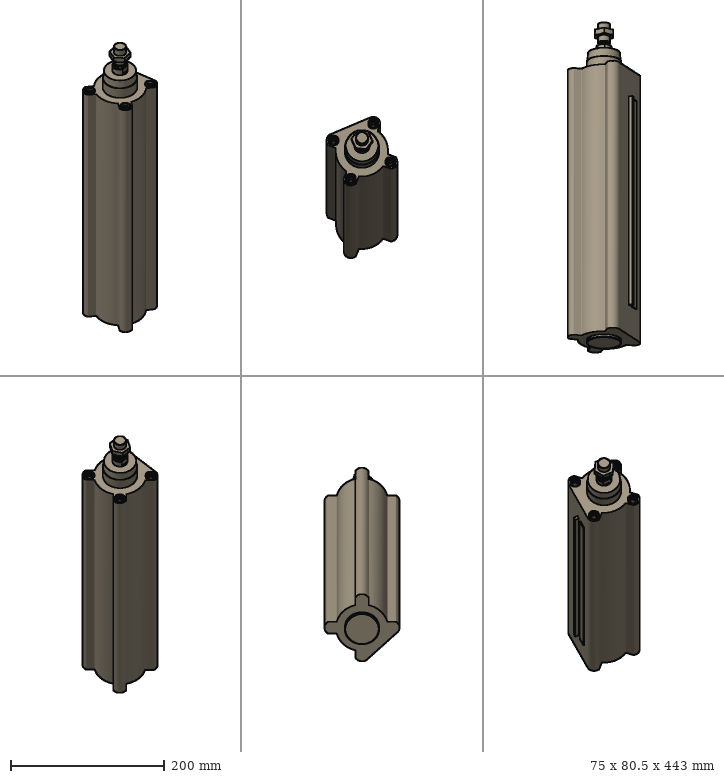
import cadquery as cq
import math

TOTAL_HEIGHT = 443.0
BODY_BOTTOM = 4.0
BODY_TOP = 375.0
COLLAR_SHOULDER = 391.0
COLLAR_TOP = 402.8

BARREL_RADIUS = 34.0
OUTER_WIDTH = 75.0
SCREW_PITCH = 56.3
OUTER_FLAT = OUTER_WIDTH / 2
LOBE_CENTRE = SCREW_PITCH / 2
LOBE_ANGLES = (45, 135, 225, 315)
LOBE_RADIUS = OUTER_FLAT - LOBE_CENTRE
FLANK_CORNER = 25.3
FLANK_CORNER_FILLET = 1.8
BARREL_JOINT_FILLET = 1.0

COLLAR_DIAMETER = 45.0
TAPER_BASE_DIAMETER = 44.5
TAPER_TOP_DIAMETER = 42.0
BOTTOM_COLLAR_CHAMFER = 1.0

SCREW_STEPS = [(13.5, 1.0), (12.0, 4.5), (8.0, 6.0), (6.5, 17.7)]
DRILL_POINT_ANGLE = 118.0

RAIL_WIDTH = 4.0
RAIL_PROJECTION = 5.5
RAIL_BOTTOM = 46.0
RAIL_TOP = 335.5
STRIP_WIDTH = 11.0
STRIP_PROJECTION = 1.5
STRIP_CENTRE_X = -13.0

ROD_DIAMETER = 20.0
ROD_BOTTOM = BODY_TOP
ROD_SHOULDER = 412.5
ROD_CHAMFER = 1.0
FLATS_WIDTH = 17.0
FLATS_BOTTOM = 404.0
THREAD_DIAMETER = 16.0
THREAD_BOTTOM = 417.0
NECK_DIAMETER = 15.0
NECK_FOOT_DIAMETER = 17.0
NECK_FOOT_HEIGHT = 2.0
THREAD_CHAMFER = 0.5

NUT_ACROSS_FLATS = 24.0
NUT_HEIGHT = 8.0
NUT_BOTTOM = 425.5
NUT_FACE_DIAMETER = 23.0
NUT_CHAMFER_ANGLE = 30.0


def cylinder(diameter, bottom, top):
    return cq.Workplane("XY").workplane(offset=bottom).circle(diameter / 2).extrude(top - bottom)


def cone(bottom_diameter, top_diameter, bottom, top):
    return (
        cq.Workplane("XY")
        .workplane(offset=bottom)
        .circle(bottom_diameter / 2)
        .workplane(offset=top - bottom)
        .circle(top_diameter / 2)
        .loft()
    )


def upright_edge_at(x, y):
    """Selector for the upright body edge that passes through (x, y)."""
    reach = 0.5
    return cq.selectors.BoxSelector((x - reach, y - reach, BODY_BOTTOM), (x + reach, y + reach, BODY_TOP))


def make_lobe(angle):
    """Corner lobe: a rounded square corner with 45 degree flanks down to the barrel."""
    inner = FLANK_CORNER - OUTER_FLAT
    flank_corners = cq.selectors.SumSelector(
        upright_edge_at(OUTER_FLAT, FLANK_CORNER), upright_edge_at(FLANK_CORNER, OUTER_FLAT)
    )
    round_middle = LOBE_CENTRE + LOBE_RADIUS * math.cos(math.radians(45))
    return (
        cq.Workplane("XY")
        .workplane(offset=BODY_BOTTOM)
        .moveTo(0, inner)
        .lineTo(OUTER_FLAT, FLANK_CORNER)
        .lineTo(OUTER_FLAT, LOBE_CENTRE)
        .threePointArc((round_middle, round_middle), (LOBE_CENTRE, OUTER_FLAT))
        .lineTo(FLANK_CORNER, OUTER_FLAT)
        .lineTo(inner, 0)
        .close()
        .extrude(BODY_TOP - BODY_BOTTOM)
        .edges(flank_corners)
        .fillet(FLANK_CORNER_FILLET)
        .rotate((0, 0, 0), (0, 0, 1), angle - LOBE_ANGLES[0])
    )


def barrel_joints():
    """Points where the lobe flanks meet the barrel, all around the axis."""
    flank_offset = (OUTER_FLAT - FLANK_CORNER) / math.sqrt(2)
    half_angle = math.degrees(math.asin(flank_offset / BARREL_RADIUS))
    points = []
    for lobe_angle in LOBE_ANGLES:
        for angle in (lobe_angle - half_angle, lobe_angle + half_angle):
            turn = math.radians(angle)
            points.append((BARREL_RADIUS * math.cos(turn), BARREL_RADIUS * math.sin(turn)))
    return points


def make_back_block():
    """Fill between the two rear lobes that gives the flat back."""
    return (
        cq.Workplane("XY")
        .box(SCREW_PITCH, OUTER_FLAT - FLANK_CORNER, BODY_TOP - BODY_BOTTOM, centered=(True, False, False))
        .translate((0, FLANK_CORNER, BODY_BOTTOM))
    )


def make_back_bar(width, projection, centre_x):
    """Upright bar standing out from the flat back."""
    return (
        cq.Workplane("XY")
        .box(width, projection, RAIL_TOP - RAIL_BOTTOM, centered=(True, False, False))
        .translate((centre_x, OUTER_FLAT, RAIL_BOTTOM))
    )


def make_top_collar():
    straight = cylinder(COLLAR_DIAMETER, BODY_TOP, COLLAR_SHOULDER)
    taper = cone(TAPER_BASE_DIAMETER, TAPER_TOP_DIAMETER, COLLAR_SHOULDER, COLLAR_TOP)
    return straight.union(taper)


def make_screw_hole():
    """Stepped hole with a conical drill point, revolved about the Z axis."""
    profile = cq.Workplane("XZ").moveTo(0, BODY_TOP)
    floor = BODY_TOP
    for diameter, depth in SCREW_STEPS:
        profile = profile.lineTo(diameter / 2, floor)
        floor = BODY_TOP - depth
        profile = profile.lineTo(diameter / 2, floor)
    last_radius = SCREW_STEPS[-1][0] / 2
    point_depth = last_radius / math.tan(math.radians(DRILL_POINT_ANGLE / 2))
    return profile.lineTo(0, floor - point_depth).close().revolve(360, (0, 0, 0), (0, 1, 0))


def make_housing():
    body = cylinder(2 * BARREL_RADIUS, BODY_BOTTOM, BODY_TOP)
    for angle in LOBE_ANGLES:
        body = body.union(make_lobe(angle))
    for x, y in barrel_joints():
        body = body.edges(upright_edge_at(x, y)).fillet(BARREL_JOINT_FILLET)
    body = body.union(make_back_block())
    body = body.union(make_back_bar(RAIL_WIDTH, RAIL_PROJECTION, 0))
    body = body.union(make_back_bar(STRIP_WIDTH, STRIP_PROJECTION, STRIP_CENTRE_X))
    bottom_collar = cylinder(COLLAR_DIAMETER, 0, BODY_BOTTOM).faces("<Z").chamfer(BOTTOM_COLLAR_CHAMFER)
    body = body.union(bottom_collar).union(make_top_collar())
    for x in (-LOBE_CENTRE, LOBE_CENTRE):
        for y in (-LOBE_CENTRE, LOBE_CENTRE):
            body = body.cut(make_screw_hole().translate((x, y, 0)))
    return body.cut(cylinder(ROD_DIAMETER, ROD_BOTTOM, COLLAR_TOP))


def make_rod():
    """Rod with two wrench flats, a narrow neck on a conical foot, and a plain threaded end."""
    rod = cylinder(ROD_DIAMETER, ROD_BOTTOM, ROD_SHOULDER).faces(">Z").chamfer(ROD_CHAMFER)
    flat_depth = (ROD_DIAMETER - FLATS_WIDTH) / 2
    flat_cut = cq.Workplane("XY").box(
        flat_depth, ROD_DIAMETER, ROD_SHOULDER - FLATS_BOTTOM, centered=(False, True, False)
    )
    rod = rod.cut(flat_cut.translate((FLATS_WIDTH / 2, 0, FLATS_BOTTOM)))
    rod = rod.cut(flat_cut.translate((-ROD_DIAMETER / 2, 0, FLATS_BOTTOM)))
    neck = cylinder(NECK_DIAMETER, ROD_SHOULDER, THREAD_BOTTOM)
    foot = cone(NECK_FOOT_DIAMETER, NECK_DIAMETER, ROD_SHOULDER, ROD_SHOULDER + NECK_FOOT_HEIGHT)
    thread = cylinder(THREAD_DIAMETER, THREAD_BOTTOM, TOTAL_HEIGHT).faces("<Z or >Z").chamfer(THREAD_CHAMFER)
    return rod.union(neck).union(foot).union(thread)


def make_nut():
    """Hexagon nut with corners toward +Y and -Y, its lower corners chamfered by a cone."""
    corner_radius = NUT_ACROSS_FLATS / math.sqrt(3)
    chamfer_height = (corner_radius - NUT_FACE_DIAMETER / 2) * math.tan(math.radians(NUT_CHAMFER_ANGLE))
    hexagon = cq.Workplane("XY").polygon(6, 2 * corner_radius).extrude(NUT_HEIGHT)
    hexagon = hexagon.rotate((0, 0, 0), (0, 0, 1), 30)
    envelope = (
        cq.Workplane("XZ")
        .lineTo(NUT_FACE_DIAMETER / 2, 0)
        .lineTo(corner_radius, chamfer_height)
        .lineTo(corner_radius, NUT_HEIGHT)
        .lineTo(0, NUT_HEIGHT)
        .close()
        .revolve(360, (0, 0, 0), (0, 1, 0))
    )
    nut = hexagon.intersect(envelope).translate((0, 0, NUT_BOTTOM))
    return nut.cut(cylinder(THREAD_DIAMETER, NUT_BOTTOM, NUT_BOTTOM + NUT_HEIGHT))


housing = make_housing()
rod = make_rod()
nut = make_nut()

result = cq.Compound.makeCompound([housing.val(), rod.val(), nut.val()])